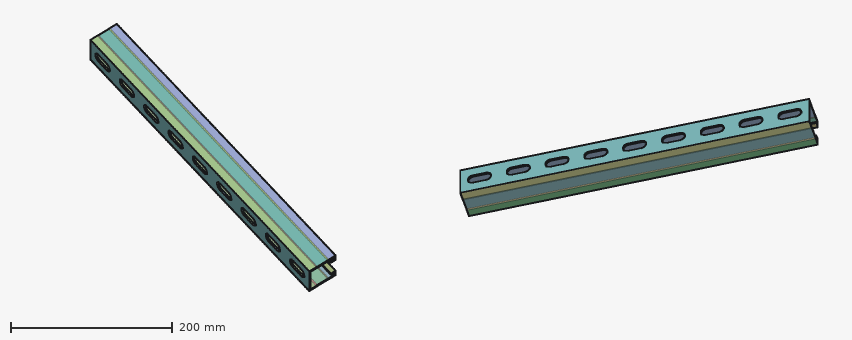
import cadquery as cq

LENGTH = 450.0
DEPTH = 41.0
HEIGHT = 41.3
WALL = 2.5

LIP_HEIGHT = 9.5
LIP_LENGTH = 7.5

RECESS_FLOOR_WIDTH = 16.0
RECESS_MOUTH_WIDTH = 19.3
RECESS_DEPTH = 0.5

SLOT_LENGTH = 30.0
SLOT_WIDTH = 13.5
SLOT_PITCH = 50.0
SLOT_COUNT = 9

HALF_DEPTH = DEPTH / 2
HALF_HEIGHT = HEIGHT / 2


def flange_face(z):
    """Points across an upper flange face at height z, from -Y to +Y, dipping into the recess."""
    half_mouth = RECESS_MOUTH_WIDTH / 2
    half_floor = RECESS_FLOOR_WIDTH / 2
    return [
        (-half_mouth, z),
        (-half_floor, z - RECESS_DEPTH),
        (half_floor, z - RECESS_DEPTH),
        (half_mouth, z),
    ]


def upper_half():
    """Upper half of the channel, from mid-height to the top flange and its lip."""
    lip_bottom = HALF_HEIGHT - LIP_HEIGHT
    lip_top = lip_bottom + WALL
    lip_tip = HALF_DEPTH - LIP_LENGTH
    inner_depth = HALF_DEPTH - WALL
    inner_height = HALF_HEIGHT - WALL

    outline = [(-HALF_DEPTH, 0), (-HALF_DEPTH, HALF_HEIGHT)]
    outline += flange_face(HALF_HEIGHT)
    outline += [
        (HALF_DEPTH, HALF_HEIGHT),
        (HALF_DEPTH, lip_bottom),
        (lip_tip, lip_bottom),
        (lip_tip, lip_top),
        (inner_depth, lip_top),
        (inner_depth, inner_height),
    ]
    outline += reversed(flange_face(inner_height))
    outline += [(-inner_depth, inner_height), (-inner_depth, 0)]

    return cq.Workplane("YZ").polyline(outline).close().extrude(LENGTH / 2, both=True)


def channel():
    """Full channel: the upper half joined to its mirror image about mid-height."""
    upper = upper_half()
    return upper.union(upper.mirror("XY")).clean()


def web_slots():
    """Round-ended cutters for the evenly spaced slots through the web."""
    return (
        cq.Workplane("XZ", origin=(0, -HALF_DEPTH, 0))
        .rarray(SLOT_PITCH, 1, SLOT_COUNT, 1)
        .slot2D(SLOT_LENGTH, SLOT_WIDTH)
        .extrude(-WALL)
    )


result = channel().cut(web_slots())